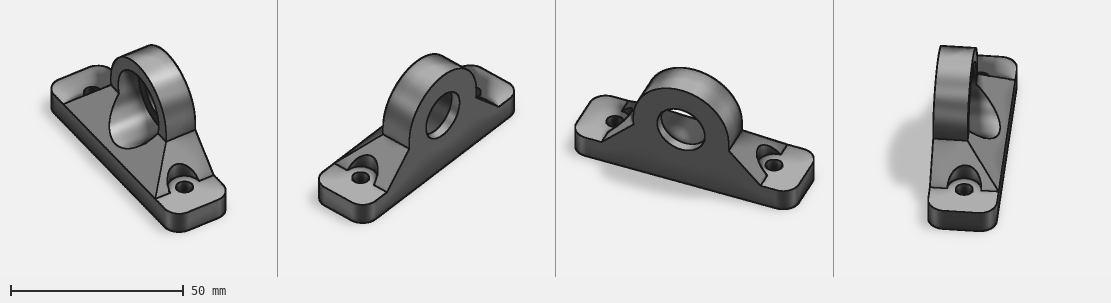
import cadquery as cq

length = 70.0
depth = 20.0
base_height = 7.0
corner_radius = 5.0

hole_diameter = 5.0
hole_offset = 25.0
clearance_diameter = 2 * hole_diameter

eye_radius = 15.0
eye_height = 20.0
bore_diameter = 15.0
counterbore_diameter = 22.0
rear_lip = 3.0

rear_y = depth / 2
eye_front_y = 0.0
slope_run = rear_y - eye_front_y
support_top = base_height + slope_run
support_half_bottom = eye_radius + slope_run


def cylinder_along_y(diameter, y_start, y_end):
    """Cylinder on the eye axis between two Y positions."""
    return (
        cq.Workplane("XZ", origin=(0, y_end, eye_height))
        .circle(diameter / 2)
        .extrude(y_end - y_start)
    )


def make_base():
    return (
        cq.Workplane("XY")
        .rect(length, depth)
        .extrude(base_height)
        .edges("|Z")
        .fillet(corner_radius)
    )


def make_support():
    block = (
        cq.Workplane("XZ", origin=(0, rear_y, 0))
        .moveTo(-support_half_bottom, base_height)
        .lineTo(-eye_radius, support_top)
        .lineTo(eye_radius, support_top)
        .lineTo(support_half_bottom, base_height)
        .close()
        .extrude(depth)
    )
    front_slope = (
        cq.Workplane("YZ", origin=(-support_half_bottom, 0, 0))
        .moveTo(rear_y, base_height)
        .lineTo(rear_y, support_top)
        .lineTo(eye_front_y, support_top)
        .lineTo(-rear_y, base_height)
        .close()
        .extrude(2 * support_half_bottom)
    )
    return block.intersect(front_slope)


def make_eye():
    return (
        cq.Workplane("XZ", origin=(0, rear_y, 0))
        .moveTo(-eye_radius, base_height)
        .lineTo(-eye_radius, eye_height)
        .threePointArc((0, eye_height + eye_radius), (eye_radius, eye_height))
        .lineTo(eye_radius, base_height)
        .close()
        .extrude(rear_y - eye_front_y)
    )


def vertical_cylinders(diameter, z_start, z_end):
    """Cylinders on both mounting hole axes between two heights."""
    return (
        cq.Workplane("XY", origin=(0, 0, z_start))
        .pushPoints([(-hole_offset, 0), (hole_offset, 0)])
        .circle(diameter / 2)
        .extrude(z_end - z_start)
    )


result = make_base().union(make_support()).union(make_eye())

result = result.cut(cylinder_along_y(bore_diameter, -rear_y, rear_y))
result = result.cut(cylinder_along_y(counterbore_diameter, -rear_y, rear_y - rear_lip))

result = result.cut(vertical_cylinders(hole_diameter, 0, base_height))
result = result.cut(vertical_cylinders(clearance_diameter, base_height, support_top))